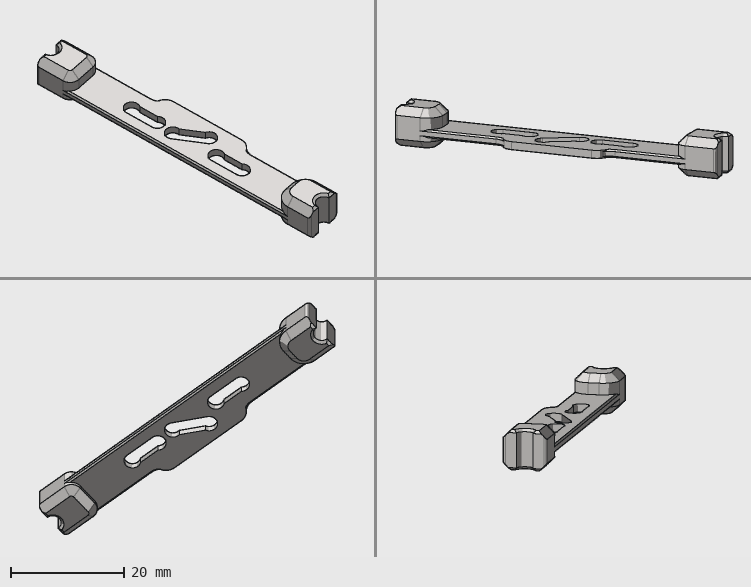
import cadquery as cq
import math

length = 61.7
strip_width = 8.0
overall_width = 9.75
head_height = 7.3

head_length = 7.95
left_corner_radius = 2.0
right_corner_radius = 3.0
head_chamfer = 1.5
end_break = 0.5
groove_radius = 1.5

plate_thickness = 1.5
plate_bottom = 2.2
edge_chamfer = 0.3
bump_length = 20.25
bump_radius = 2.45

slot_end_radius = 1.5
channel_width = 2.65
side_slot_pitch = 5.8
side_slot_x = 9.55
side_slot_y = 3.9
middle_slot_pitch = 6.55
middle_slot_y = 5.05
middle_slot_angle = 28.0

half_length = length / 2
plate_half_length = half_length - head_length / 2
strip_middle = strip_width / 2


def make_plate():
    """Strip with chamfered long edges that flares into a square-edged bump."""
    arc_rise = (overall_width - strip_width) / 2
    arc_angle = math.acos(1 - arc_rise / bump_radius)
    arc_run = bump_radius * math.sin(arc_angle)
    meet_x = bump_length / 2 - bump_radius + arc_run
    meet_y = strip_width + arc_rise
    flare_x = meet_x + arc_run
    mid_x = flare_x - bump_radius * math.sin(arc_angle / 2)
    mid_y = strip_width + bump_radius * (1 - math.cos(arc_angle / 2))

    strip = (
        cq.Workplane("XY", origin=(0, 0, plate_bottom))
        .moveTo(-plate_half_length, 0)
        .lineTo(plate_half_length, 0)
        .lineTo(plate_half_length, strip_width)
        .lineTo(flare_x, strip_width)
        .threePointArc((mid_x, mid_y), (meet_x, meet_y))
        .lineTo(-meet_x, meet_y)
        .threePointArc((-mid_x, mid_y), (-flare_x, strip_width))
        .lineTo(-plate_half_length, strip_width)
        .close()
        .extrude(plate_thickness)
        .faces("<Z or >Z")
        .edges("(|X or %CIRCLE) and (not >Y)")
        .chamfer(edge_chamfer)
    )
    bump = (
        cq.Workplane("XY", origin=(0, strip_middle, plate_bottom))
        .rect(bump_length, overall_width - strip_middle, centered=(True, False))
        .extrude(plate_thickness)
        .edges("|Z and >Y")
        .fillet(bump_radius)
    )
    return strip.union(bump)


def make_slot(x, y, pitch, angle):
    """Cutter for one slot, turned about its middle."""
    channel_offset = channel_width / 2 - slot_end_radius
    end_points = [(-pitch / 2, 0), (pitch / 2, 0)]
    ends = cq.Workplane("XY").pushPoints(end_points).circle(slot_end_radius).extrude(head_height)
    channel = cq.Workplane("XY").center(0, channel_offset).rect(pitch, channel_width).extrude(head_height)
    slot = ends.union(channel)
    return slot.rotate((0, 0, 0), (0, 0, 1), angle).translate((x, y, 0))


def make_head(corner_radius):
    """Right-hand head: rounded towards the plate, grooved on its outer end."""
    block = (
        cq.Workplane("XY", origin=(half_length - head_length, 0, 0))
        .rect(head_length, strip_width, centered=False)
        .extrude(head_height)
        .edges("|Z and <X")
        .fillet(corner_radius)
        .faces("<Z or >Z")
        .edges("not >X")
        .chamfer(head_chamfer)
    )
    block = block.faces(">X").edges("|Z").fillet(end_break)
    block = block.faces(">X").edges("|Y").chamfer(end_break)

    mouth_radius = groove_radius + end_break
    groove = (
        cq.Workplane("XZ")
        .polyline(
            [
                (0, 0),
                (mouth_radius, 0),
                (groove_radius, end_break),
                (groove_radius, head_height - end_break),
                (mouth_radius, head_height),
                (0, head_height),
            ]
        )
        .close()
        .revolve(360, (0, 0, 0), (0, 1, 0))
        .translate((half_length, strip_middle, 0))
    )
    return block.cut(groove)


plate = make_plate()
for side in (-1, 1):
    plate = plate.cut(make_slot(side * side_slot_x, side_slot_y, side_slot_pitch, 0))
plate = plate.cut(make_slot(0, middle_slot_y, middle_slot_pitch, middle_slot_angle))

right_head = make_head(right_corner_radius)
left_head = make_head(left_corner_radius).mirror("YZ")
result = plate.union(right_head).union(left_head)